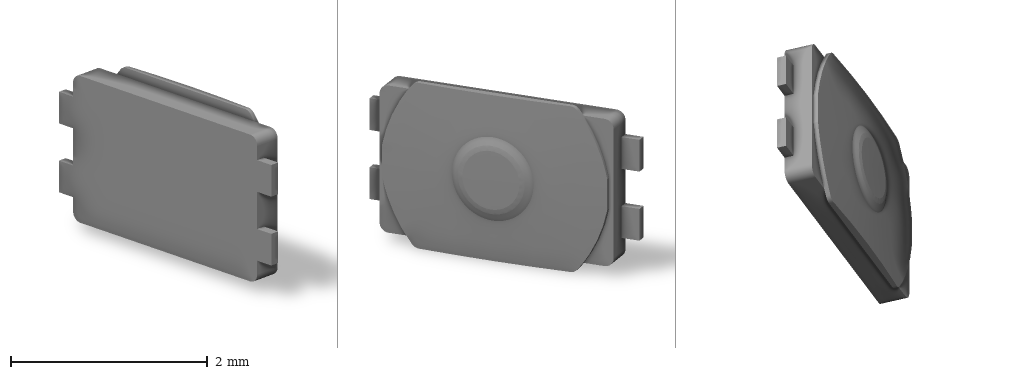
import cadquery as cq
import math

overall_width = 3.0

base_width = 2.6
base_height = 1.6
base_depth = 0.3
base_corner_radius = 0.1

cover_width = 2.502
cover_height = 1.8
cover_end_flat = 0.335
cover_long_side = 1.775
cover_bow_rise = 0.055
cover_corner_radius = 0.1
crown_height = 0.105
crown_radius = 14.1

button_foot_radius = 0.453
button_rim_radius = 0.345
button_rim_height = 0.145
button_height = 0.15
button_rim_rounding = 0.15

terminal_height = 0.345
terminal_depth = 0.1
terminal_pitch = 0.75
terminal_length = (overall_width - base_width) / 2


def crown_height_at(radius):
    """Height of the cover's spherical surface at a distance from its axis."""
    return crown_height - crown_radius + math.sqrt(crown_radius**2 - radius**2)


def make_cover_plate():
    """Plate with bowed corners, trimmed by the spherical crown."""
    half_width = cover_width / 2
    half_height = cover_height / 2
    half_flat = cover_end_flat / 2
    half_long_side = cover_long_side / 2

    chord_x = half_width - half_long_side
    chord_z = half_height - half_flat
    chord_length = math.hypot(chord_x, chord_z)
    bow_x = (half_width + half_long_side) / 2 + cover_bow_rise * chord_z / chord_length
    bow_z = (half_height + half_flat) / 2 + cover_bow_rise * chord_x / chord_length

    plate = (
        cq.Workplane("XZ", origin=(0, base_depth, 0))
        .moveTo(half_width, -half_flat)
        .lineTo(half_width, half_flat)
        .threePointArc((bow_x, bow_z), (half_long_side, half_height))
        .lineTo(-half_long_side, half_height)
        .threePointArc((-bow_x, bow_z), (-half_width, half_flat))
        .lineTo(-half_width, -half_flat)
        .threePointArc((-bow_x, -bow_z), (-half_long_side, -half_height))
        .lineTo(half_long_side, -half_height)
        .threePointArc((bow_x, -bow_z), (half_width, -half_flat))
        .close()
        .extrude(-crown_height)
    )

    corner_y = base_depth + crown_height / 2
    for x in (-half_long_side, half_long_side):
        for z in (-half_height, half_height):
            corner = cq.selectors.NearestToPointSelector((x, corner_y, z))
            plate = plate.edges("|Y").edges(corner).fillet(cover_corner_radius)

    crown = cq.Workplane("XY").sphere(crown_radius)
    crown = crown.translate((0, base_depth + crown_height - crown_radius, 0))
    return plate.intersect(crown)


def make_button():
    """Conical flank with a shallow domed top, rising from the cover."""
    dome_rise = button_height - button_rim_height
    dome_radius = (button_rim_radius**2 + dome_rise**2) / (2 * dome_rise)
    mid_radius = button_rim_radius / 2
    mid_height = button_height - dome_radius + math.sqrt(dome_radius**2 - mid_radius**2)
    profile = (
        cq.Workplane("XY", origin=(0, base_depth, 0))
        .lineTo(button_foot_radius, 0)
        .lineTo(button_foot_radius, crown_height_at(button_foot_radius))
        .lineTo(button_rim_radius, button_rim_height)
        .threePointArc((mid_radius, mid_height), (0, button_height))
        .close()
    )
    button = profile.revolve(360, (0, 0, 0), (0, 1, 0))
    rim = cq.selectors.NearestToPointSelector((0, base_depth + button_rim_height, 0))
    return button.edges("%CIRCLE").edges(rim).fillet(button_rim_rounding)


def make_housing():
    """Base block with its cover and button."""
    base = (
        cq.Workplane("XY")
        .box(base_width, base_depth, base_height, centered=(True, False, True))
        .edges("|Y")
        .fillet(base_corner_radius)
    )
    return base.union(make_cover_plate()).union(make_button())


def make_terminal(side, z):
    """Pin butting against the base end on the given side (-1 or 1)."""
    x = side * (base_width + terminal_length) / 2
    return (
        cq.Workplane("XY")
        .box(terminal_length, terminal_depth, terminal_height, centered=(True, False, True))
        .translate((x, 0, z))
    )


housing = make_housing()

terminals = []
for side in (-1, 1):
    for z in (-terminal_pitch / 2, terminal_pitch / 2):
        terminals.append(make_terminal(side, z).val())

result = cq.Compound.makeCompound([housing.val(), *terminals])